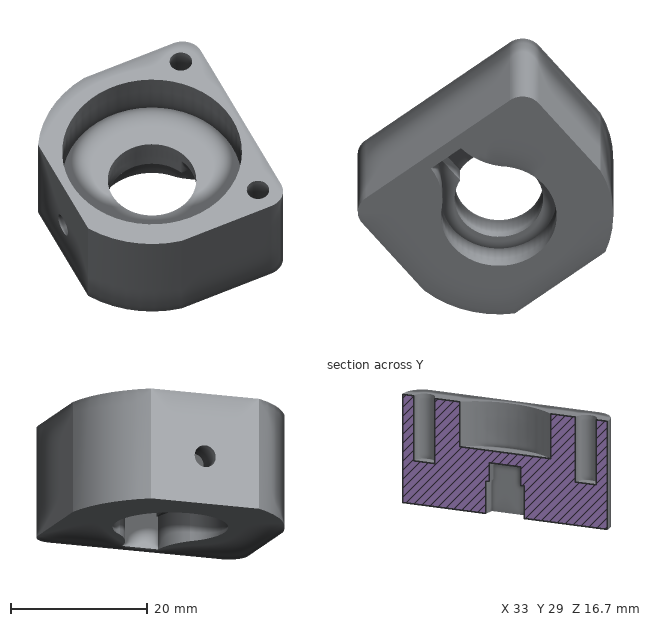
import cadquery as cq
import math

width = 33.0
depth = 29.0
height = 16.7
lobe_radius = 16.8
corner_radius = 3.0

recess_diameter = 26.4
recess_depth = 6.9
bore_diameter = 13.0
undercut_diameter = 17.0
undercut_depth = 4.98

keyway_width = 5.0
keyway_top = 7.85
keyway_reach = 12.55

mouth_half_width = 5.95
mouth_start_y = 6.15
bulge_radius = 9.9
bulge_x = 12.67
bulge_y = 13.3

hole_diameter = 3.3
screw_x = 13.0
screw_y = 11.0
screw_hole_depth = 10.0
side_hole_z = 7.2
side_hole_depth = 5.0

half_width = width / 2
half_depth = depth / 2


def make_body():
    """Plate with two rounded corners at +Y and a truncated round lobe at -Y."""
    flat_half = math.sqrt(lobe_radius**2 - half_depth**2)
    side_end_y = -math.sqrt(lobe_radius**2 - half_width**2)
    mid_x = (half_width + flat_half) / 2
    mid_y = -math.sqrt(lobe_radius**2 - mid_x**2)
    return (
        cq.Workplane("XY")
        .moveTo(-half_width, half_depth)
        .lineTo(half_width, half_depth)
        .lineTo(half_width, side_end_y)
        .threePointArc((mid_x, mid_y), (flat_half, -half_depth))
        .lineTo(-flat_half, -half_depth)
        .threePointArc((-mid_x, mid_y), (-half_width, side_end_y))
        .close()
        .extrude(height)
        .edges("|Z and >Y")
        .fillet(corner_radius)
    )


def upright_cylinder(diameter, bottom, top):
    """Cylinder on the Z axis between two heights."""
    return cq.Workplane("XY").workplane(offset=bottom).circle(diameter / 2).extrude(top - bottom)


def make_keyway():
    """Rectangular slot in the +Y side of the bore."""
    return cq.Workplane("XY", origin=(0, 0, undercut_depth)).box(
        keyway_width, keyway_reach, keyway_top - undercut_depth, centered=(True, False, False)
    )


def make_mouth():
    """Passage open at the bottom face, narrowed on both sides by a convex wall."""
    passage = cq.Workplane("XY", origin=(0, mouth_start_y, 0)).box(
        2 * mouth_half_width, keyway_reach - mouth_start_y, undercut_depth, centered=(True, False, False)
    )
    bulges = (
        cq.Workplane("XY")
        .pushPoints([(-bulge_x, bulge_y), (bulge_x, bulge_y)])
        .circle(bulge_radius)
        .extrude(undercut_depth)
    )
    return passage.cut(bulges)


def make_screw_holes():
    """Two blind holes in the top face, near the rounded corners."""
    return (
        cq.Workplane("XY")
        .workplane(offset=height - screw_hole_depth)
        .pushPoints([(-screw_x, screw_y), (screw_x, screw_y)])
        .circle(hole_diameter / 2)
        .extrude(screw_hole_depth)
    )


def make_side_hole():
    """Blind hole in the flat -Y face."""
    return (
        cq.Workplane("XZ", origin=(0, side_hole_depth - half_depth, side_hole_z))
        .circle(hole_diameter / 2)
        .extrude(side_hole_depth)
    )


result = (
    make_body()
    .cut(upright_cylinder(bore_diameter, 0, height))
    .cut(upright_cylinder(recess_diameter, height - recess_depth, height))
    .cut(upright_cylinder(undercut_diameter, 0, undercut_depth))
    .cut(make_mouth())
    .cut(make_keyway())
    .cut(make_screw_holes())
    .cut(make_side_hole())
)